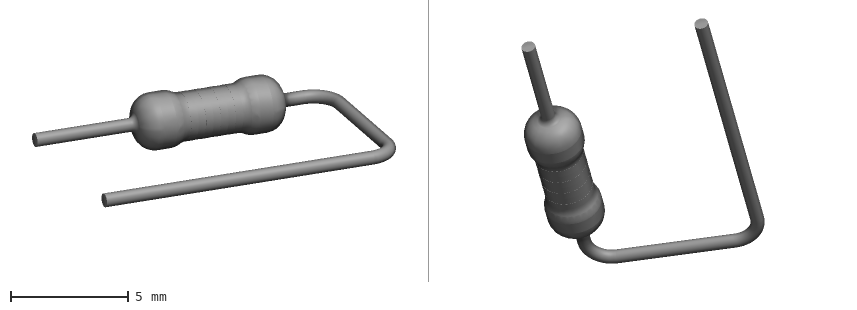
import cadquery as cq
import math

overall_length = 13.9
lead_diameter = 0.6
lead_radius = lead_diameter / 2
lead_spacing = 7.5
bend_radius = 2 * lead_diameter
crossbar_y = overall_length - lead_radius

body_center_y = 8.0
cap_radius = 2.5 / 2
waist_radius = 2.13 / 2
band_radius = 2.14 / 2
dome_radius = 0.86
cap_outer_half = 2.53
cap_inner_half = 1.93
waist_half = 1.21
neck_half = 3.64

band_count = 4
segment_count = 2 * band_count - 1
segment_length = 2 * waist_half / segment_count


def make_wire():
    path = (
        cq.Workplane("XY")
        .lineTo(0, crossbar_y - bend_radius)
        .tangentArcPoint((bend_radius, crossbar_y), relative=False)
        .lineTo(lead_spacing - bend_radius, crossbar_y)
        .tangentArcPoint((lead_spacing, crossbar_y - bend_radius), relative=False)
        .lineTo(lead_spacing, 0)
    )
    return cq.Workplane("XZ").circle(lead_radius).sweep(path)


def point_on_arc(center, radius, angle):
    return (center[0] + radius * math.cos(angle), center[1] + radius * math.sin(angle))


def make_end_cap():
    """The +Y end of the body, from the edge of the waist to the neck."""
    blend_length = cap_inner_half - waist_half
    blend_rise = cap_radius - waist_radius
    blend_middle = (waist_radius + blend_rise / 2, waist_half + blend_length / 2)

    dome_center = (cap_radius - dome_radius, cap_outer_half)
    lead_offset = dome_center[0] - lead_radius
    neck_rise = neck_half - cap_outer_half
    neck_radius = (lead_offset**2 + neck_rise**2 - dome_radius**2) / (2 * (dome_radius + lead_offset))
    neck_center = (lead_radius + neck_radius, neck_half)
    contact_angle = math.atan2(neck_rise, neck_center[0] - dome_center[0])
    dome_end = point_on_arc(dome_center, dome_radius, contact_angle)
    dome_middle = point_on_arc(dome_center, dome_radius, contact_angle / 2)
    neck_middle = point_on_arc(neck_center, neck_radius, math.pi + contact_angle / 2)

    return (
        cq.Workplane("XY")
        .moveTo(0, neck_half)
        .lineTo(lead_radius, neck_half)
        .threePointArc(neck_middle, dome_end)
        .threePointArc(dome_middle, (cap_radius, cap_outer_half))
        .lineTo(cap_radius, cap_inner_half)
        .tangentArcPoint(blend_middle, relative=False)
        .tangentArcPoint((waist_radius, waist_half), relative=False)
        .lineTo(0, waist_half)
        .close()
        .revolve(360, (0, 0), (0, 1))
    )


def make_body():
    end_cap = make_end_cap()
    body = end_cap.union(end_cap.mirror("XZ"))
    for index in range(segment_count):
        is_band = index % 2 == 0
        segment = (
            cq.Workplane("XZ", origin=(0, -waist_half + index * segment_length, 0))
            .circle(band_radius if is_band else waist_radius)
            .extrude(-segment_length)
        )
        body = body.union(segment)
    return body.translate((0, body_center_y, 0))


result = make_wire().union(make_body())